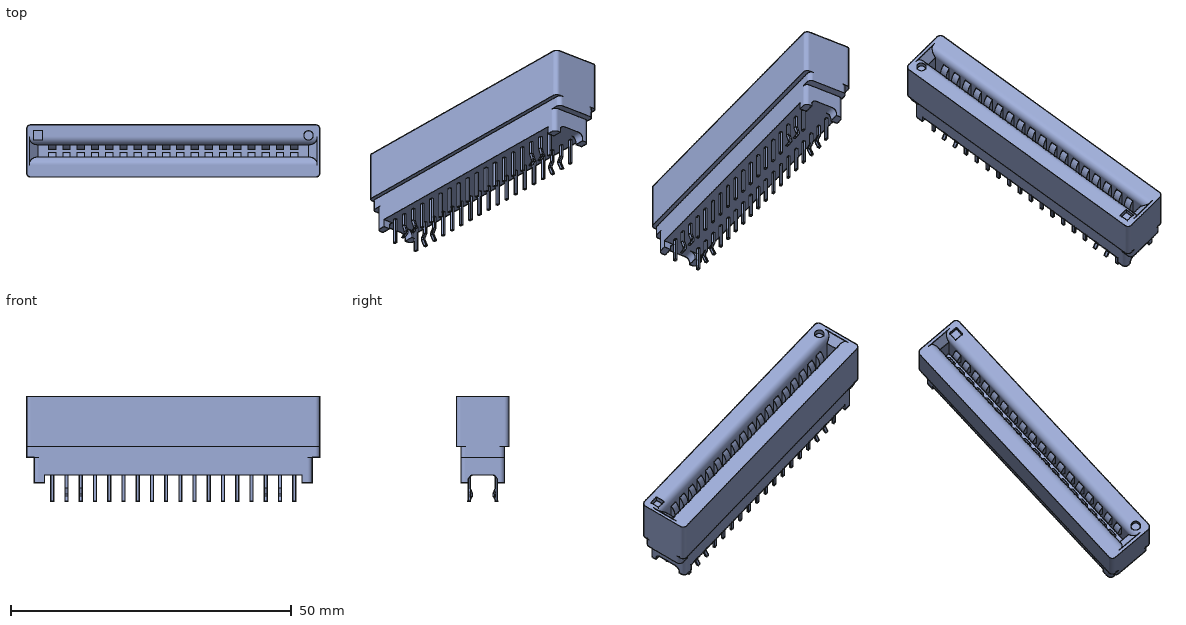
import cadquery as cq

OVERLAP = 0.25

LENGTH = 52.3
WIDTH = 9.35
LOWER_LENGTH = 49.6
LOWER_WIDTH = 7.8
WIDE_DEPTH = 8.95
LONG_DEPTH = 10.9
BODY_DEPTH = 14.0
LEG_DEPTH = 15.45
CORNER_RADIUS = 0.8

LEG_INNER_X = 22.9
ARCH_WIDTH = 5.15
ARCH_RADIUS = 0.95

SLOT_WIDTH = 2.2
SLOT_LENGTH = 48.3
SLOT_DEPTH = 8.0
MOUTH_WIDTH = 5.0
MOUTH_LENGTH = 51.15
MOUTH_RADIUS = (MOUTH_WIDTH - SLOT_WIDTH) / 2
END_BEVEL = (MOUTH_LENGTH - SLOT_LENGTH) / 2
END_BEVEL_TOP = 0.1

MARK_X = 24.1
MARK_Y = 2.75
MARK_SIZE = 1.7
MARK_DEPTH = 1.0

PITCH = 2.54
POSITIONS = 18
CONTACT_WIDTH = 1.3
CONTACT_GAP = 0.5
CONTACT_TOP = 1.9
CONTACT_BOTTOM = 5.65

PIN_DEPTH = 18.75
PIN_WIDTH = 0.6
PIN_THICKNESS = 0.35
PIN_Y = 2.4
KINK_POSITIONS = (1, 2, POSITIONS - 3, POSITIONS - 2)
KINK_START = 16.3
KINK_CREST = 17.35
KINK_CREST_END = 17.75
KINK_INWARD = 0.4
TIP_OUTWARD = 0.15


def block(length, width, top, bottom):
    """Centred block between two depths below the top face."""
    return cq.Workplane("XY").workplane(offset=-bottom).rect(length, width).extrude(bottom - top)


def rounded_block(length, width, top, bottom):
    return block(length, width, top, bottom).edges("|Z").fillet(CORNER_RADIUS)


def prism_along_x(sketch, center_x, length):
    """Extrude a YZ outline along X, centred on center_x."""
    return sketch.extrude(length / 2, both=True).translate((center_x, 0, 0))


def housing():
    body = rounded_block(LENGTH, WIDTH, 0, WIDE_DEPTH)
    body = body.union(rounded_block(LENGTH, LOWER_WIDTH, WIDE_DEPTH - OVERLAP, LONG_DEPTH))
    body = body.union(rounded_block(LOWER_LENGTH, LOWER_WIDTH, LONG_DEPTH - OVERLAP, LEG_DEPTH))
    body = body.cut(block(2 * LEG_INNER_X, WIDTH, BODY_DEPTH, LEG_DEPTH))
    arch = block(LENGTH, ARCH_WIDTH, BODY_DEPTH, LEG_DEPTH + ARCH_RADIUS)
    return body.cut(arch.edges("|X and >Z").fillet(ARCH_RADIUS))


def card_slot():
    """Slot with convex rounded long edges and beveled ends."""
    half_slot = SLOT_WIDTH / 2
    half_mouth = MOUTH_WIDTH / 2
    across = (
        cq.Workplane("YZ")
        .moveTo(-half_mouth, 0)
        .radiusArc((-half_slot, -MOUTH_RADIUS), MOUTH_RADIUS)
        .lineTo(-half_slot, -SLOT_DEPTH)
        .lineTo(half_slot, -SLOT_DEPTH)
        .lineTo(half_slot, -MOUTH_RADIUS)
        .radiusArc((half_mouth, 0), MOUTH_RADIUS)
        .close()
    )
    bevel_bottom = END_BEVEL_TOP + END_BEVEL
    along = (
        cq.Workplane("XZ")
        .moveTo(0, 0)
        .lineTo(MOUTH_LENGTH / 2, 0)
        .lineTo(MOUTH_LENGTH / 2, -END_BEVEL_TOP)
        .lineTo(SLOT_LENGTH / 2, -bevel_bottom)
        .lineTo(SLOT_LENGTH / 2, -SLOT_DEPTH)
        .lineTo(0, -SLOT_DEPTH)
        .close()
        .extrude(WIDTH / 2, both=True)
    )
    along = along.union(along.mirror("YZ"))
    return prism_along_x(across, 0, LENGTH).intersect(along)


def locating_marks():
    """Square recess at the -X end and round recess at the +X end."""
    floor = cq.Workplane("XY").workplane(offset=-MARK_DEPTH)
    square = floor.center(-MARK_X, MARK_Y).rect(MARK_SIZE, MARK_SIZE).extrude(MARK_DEPTH)
    circle = floor.center(MARK_X, MARK_Y).circle(MARK_SIZE / 2).extrude(MARK_DEPTH)
    return square.union(circle)


def contact(x):
    """Spring bowing out of the +Y slot wall."""
    wall = SLOT_WIDTH / 2
    crest_depth = (CONTACT_TOP + CONTACT_BOTTOM) / 2
    outline = (
        cq.Workplane("YZ")
        .moveTo(wall, -CONTACT_TOP)
        .threePointArc((CONTACT_GAP / 2, -crest_depth), (wall, -CONTACT_BOTTOM))
        .lineTo(wall + OVERLAP, -CONTACT_BOTTOM)
        .lineTo(wall + OVERLAP, -CONTACT_TOP)
        .close()
    )
    return prism_along_x(outline, x, CONTACT_WIDTH)


def pin(x, kinked):
    """Solder pin of the +Y row; a kinked pin bends inward and flares out at its tip."""
    path = [(PIN_Y, -BODY_DEPTH + OVERLAP)]
    if kinked:
        path.append((PIN_Y, -KINK_START))
        path.append((PIN_Y - KINK_INWARD, -KINK_CREST))
        path.append((PIN_Y - KINK_INWARD, -KINK_CREST_END))
        path.append((PIN_Y + TIP_OUTWARD, -PIN_DEPTH))
    else:
        path.append((PIN_Y, -PIN_DEPTH))
    half = PIN_THICKNESS / 2
    inner_side = [(y - half, z) for y, z in path]
    outer_side = [(y + half, z) for y, z in reversed(path)]
    outline = cq.Workplane("YZ").polyline(inner_side + outer_side).close()
    return prism_along_x(outline, x, PIN_WIDTH)


result = housing().cut(card_slot()).cut(locating_marks())

row = []
for index in range(POSITIONS):
    position_x = (index - (POSITIONS - 1) / 2) * PITCH
    row.append(contact(position_x))
    row.append(pin(position_x, index in KINK_POSITIONS))
opposite_row = [feature.mirror("XZ") for feature in row]

metal = cq.Compound.makeCompound([feature.val() for feature in row + opposite_row])
result = result.union(cq.Workplane(metal))